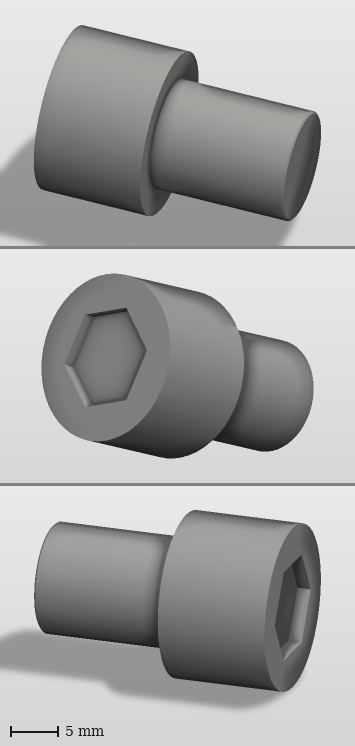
import cadquery as cq
import math

head_diameter = 18.0
head_length = 12.0
shank_diameter = 12.0
shank_length = 15.0
tip_chamfer = 0.2

socket_across_flats = 10.0
socket_depth = 1.5
socket_across_corners = socket_across_flats / math.cos(math.radians(30))


def make_head():
    return cq.Workplane("YZ").circle(head_diameter / 2).extrude(head_length)


def make_shank():
    shank = (
        cq.Workplane("YZ")
        .workplane(offset=head_length)
        .circle(shank_diameter / 2)
        .extrude(shank_length)
    )
    return shank.faces(">X").chamfer(tip_chamfer)


def make_socket():
    return cq.Workplane("YZ").polygon(6, socket_across_corners).extrude(socket_depth)


result = make_head().union(make_shank()).cut(make_socket())